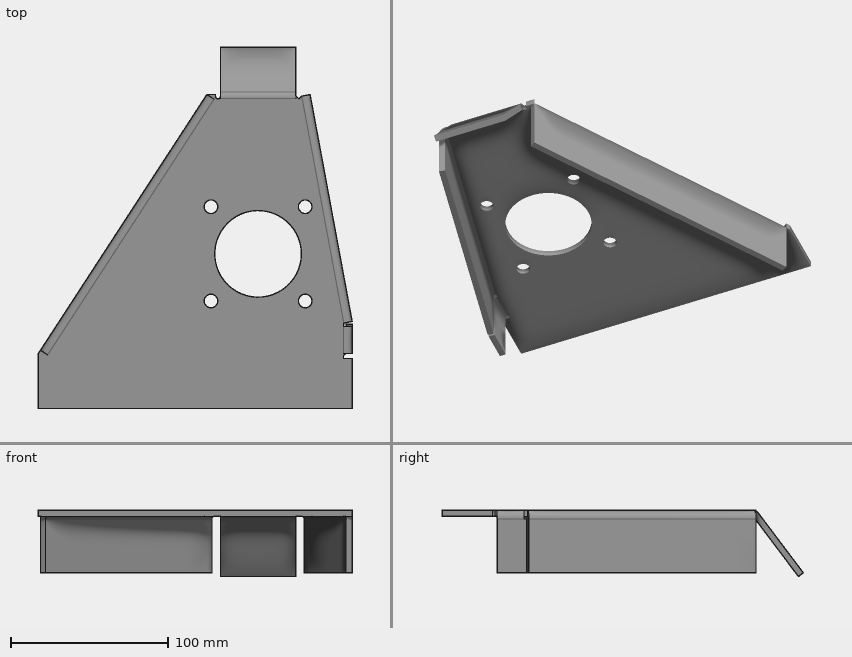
import cadquery as cq
import math

thickness = 4.0
inner_radius = 1.5
outer_radius = inner_radius + thickness
right_angle = 90.0

plate_width = 200.0
plate_depth = 200.0
left_edge_depth = 35.0
left_slant = 33.05
right_slant_start = 55.4
right_slant = 10.5

flange_height = 40.0

flap_angle = 53.0
flap_length = 50.0
flap_width = 48.0

tab_start = 35.0
tab_bend_end = 52.3
tab_end = 53.7

notch_width = 3.0
tab_root_chamfer = 1.3

hole_x = 140.0
hole_y = 98.5
bore_diameter = 55.0
mount_diameter = 8.5
mount_pitch = 60.0

left_sin = math.sin(math.radians(left_slant))
left_cos = math.cos(math.radians(left_slant))
right_sin = math.sin(math.radians(right_slant))
right_cos = math.cos(math.radians(right_slant))
left_flange_gap = thickness * left_sin / left_cos
left_flange_start = (left_flange_gap * left_sin, left_edge_depth + left_flange_gap * left_cos)
left_flange_end = ((plate_depth - left_edge_depth) * left_sin / left_cos, plate_depth)
right_flange_start = (plate_width, right_slant_start)
right_flange_end = (plate_width - (plate_depth - right_slant_start) * right_sin / right_cos, plate_depth)

left_outward = (-left_cos, left_sin)
right_outward = (right_cos, right_sin)
rear_outward = (0.0, 1.0)
tab_outward = (1.0, 0.0)

flap_left = hole_x - flap_width / 2
flap_right = hole_x + flap_width / 2


def setback(angle):
    """Distance from the sharp outer corner of a bend to its tangent line."""
    return outer_radius * math.tan(math.radians(angle) / 2)


def bend_point(corner, outward):
    """Point on the tangent line of a right-angle bend beside an outer flange corner."""
    return (corner[0] - outer_radius * outward[0], corner[1] - outer_radius * outward[1])


def extrude_along_edge(start, end, outward, draw):
    """Extrude a section, drawn in (outward, Z) axes, between two points of an edge."""
    along = (outward[1], -outward[0], 0)
    plane = cq.Plane(origin=(start[0], start[1], 0), xDir=(outward[0], outward[1], 0), normal=along)
    return draw(cq.Workplane(plane)).extrude(math.dist(start, end))


def make_bend(start, end, outward, angle):
    """Curved part of a fold, from the plate's end face to the leg."""

    def draw(section):
        center_u = -setback(angle)

        def at(radius, turn):
            turn = math.radians(turn)
            return (center_u + radius * math.sin(turn), radius * math.cos(turn) - outer_radius)

        return (
            section.moveTo(*at(outer_radius, 0))
            .threePointArc(at(outer_radius, angle / 2), at(outer_radius, angle))
            .lineTo(*at(inner_radius, angle))
            .threePointArc(at(inner_radius, angle / 2), at(inner_radius, 0))
            .close()
        )

    return extrude_along_edge(start, end, outward, draw)


def make_leg(start, end, outward, angle, length):
    """Flat part of a fold; its length runs from the sharp outer corner."""

    def draw(section):
        turn = math.radians(angle)

        def at(distance, depth):
            return (
                distance * math.cos(turn) - depth * math.sin(turn),
                -distance * math.sin(turn) - depth * math.cos(turn),
            )

        near = setback(angle)
        return section.polyline(
            [at(near, 0), at(length, 0), at(length, thickness), at(near, thickness)]
        ).close()

    return extrude_along_edge(start, end, outward, draw)


def make_fold(start, end, outward, angle, length):
    """Bend and leg of the same width."""
    return make_bend(start, end, outward, angle).union(make_leg(start, end, outward, angle, length))


def make_plate():
    """Flat plate, ending at the bends, with reliefs beside the rear flap and the tab."""
    rear_y = plate_depth - setback(flap_angle)
    tab_x = plate_width - outer_radius
    left_radius = notch_width / 2
    left_notch_x = flap_left - notch_width
    right_flange_root = bend_point(right_flange_end, right_outward)
    right_depth = (right_flange_root[0] - flap_right) / 2

    outline = (
        cq.Workplane("XY")
        .moveTo(0, 0)
        .lineTo(plate_width, 0)
        .lineTo(plate_width, tab_start - notch_width)
        .lineTo(tab_x, tab_start - notch_width)
        .lineTo(tab_x, tab_start - tab_root_chamfer)
        .lineTo(tab_x + tab_root_chamfer, tab_start)
        .lineTo(tab_x, tab_start)
        .lineTo(tab_x, tab_bend_end)
        .lineTo(*bend_point(right_flange_start, right_outward))
        .lineTo(*right_flange_root)
        .lineTo(flap_right + right_depth, rear_y)
        .lineTo(flap_right, rear_y + right_depth)
        .lineTo(flap_right, rear_y)
        .lineTo(flap_left, rear_y)
        .lineTo(flap_left, rear_y + left_radius)
        .threePointArc((flap_left - left_radius, rear_y), (left_notch_x, rear_y + left_radius))
        .lineTo(left_notch_x, plate_depth)
        .lineTo(*left_flange_end)
        .lineTo(*bend_point(left_flange_end, left_outward))
        .lineTo(*bend_point(left_flange_start, left_outward))
        .lineTo(*left_flange_start)
        .lineTo(0, left_edge_depth)
        .close()
    )
    return outline.extrude(-thickness)


def make_tab():
    """Tab folded down on the right side."""
    front = (plate_width, tab_start)
    bend = make_bend((plate_width, tab_bend_end), front, tab_outward, right_angle)
    leg = make_leg((plate_width, tab_end), front, tab_outward, right_angle, flange_height)
    return bend.union(leg)


def cut_holes(body):
    """Central bore with four mounting holes on a square."""
    plate_face = cq.Workplane("XY").center(hole_x, hole_y)
    bore = plate_face.circle(bore_diameter / 2).extrude(-thickness)
    mounts = (
        plate_face.rect(mount_pitch, mount_pitch, forConstruction=True)
        .vertices()
        .circle(mount_diameter / 2)
        .extrude(-thickness)
    )
    return body.cut(bore).cut(mounts)


left_flange = make_fold(left_flange_start, left_flange_end, left_outward, right_angle, flange_height)
right_flange = make_fold(right_flange_end, right_flange_start, right_outward, right_angle, flange_height)
rear_flap = make_fold(
    (flap_left, plate_depth), (flap_right, plate_depth), rear_outward, flap_angle, flap_length
)

folded_sheet = make_plate().union(left_flange).union(right_flange).union(rear_flap).union(make_tab())
result = cut_holes(folded_sheet)